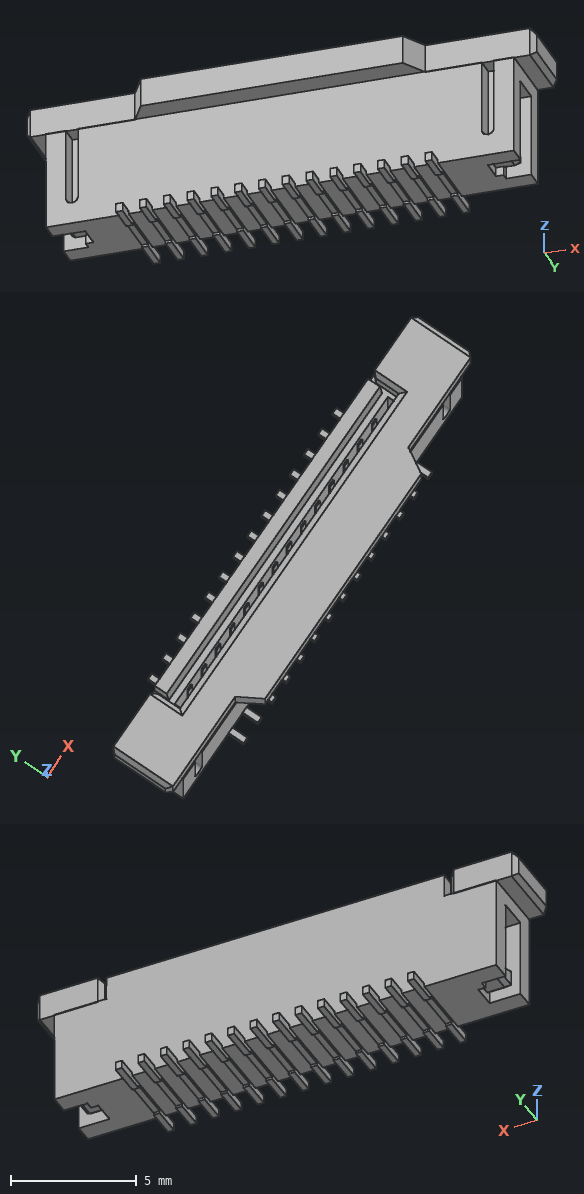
import cadquery as cq


overall_length = 21.4
overall_height = 5.67

housing_length = 19.65
housing_depth = 2.95
housing_bottom = 0.24
cover_thickness = 1.22
housing_top = overall_height - cover_thickness
housing_front = -housing_depth / 2
housing_back = housing_depth / 2

cover_setback = 0.05
cover_depth = housing_depth - 2 * cover_setback
cover_front = -cover_depth / 2
cover_back = cover_depth / 2
cover_chamfer = 0.21

lip_root_length = 12.2
lip_tip_length = 11.0
lip_depth = 1.03

opening_length = 15.4
opening_front = 0.13
opening_front_chamfer = 0.25

cable_length = 15.02
wall_top = overall_height - 0.17
wall_top_thickness = 0.58
wall_base_thickness = 0.68
slot_back = 0.51
slot_front = opening_front
slot_floor = 1.07

contact_count = 14
contact_span = 13.0
contact_pitch = contact_span / (contact_count - 1)
contact_width = 0.28
contact_height = 0.36
contact_arch = 0.1
back_tail = 0.92
front_tail = 0.73
back_foot_length = 1.48
front_foot_length = 1.26
blade_top = 3.64
blade_projection = 0.06

leg_thickness = 0.81
pocket_width = 1.3
pocket_front = housing_front + leg_thickness
pocket_back = pocket_front + pocket_width
pocket_top = 3.77
pocket_inner_x = 8.45
pocket_rib_width = 0.32
rib_outer_x = pocket_inner_x + 0.32

arm_outer_x = 9.03
arm_bottom = 0.62
arm_back = pocket_back - 0.06
hook_outer_x = 9.42
hook_back_top = 1.03
hook_front_top = 1.48
hook_chamfer = 0.2

window_width = 0.51
window_center_x = 8.73
window_bottom = 1.15


def block(x_min, x_max, y_min, y_max, z_min, z_max):
    """Box between opposite corners."""
    size = (x_max - x_min, y_max - y_min, z_max - z_min)
    return cq.Workplane("XY").box(*size, centered=False).translate((x_min, y_min, z_min))


def centred_block(length, y_min, y_max, z_min, z_max):
    """Box centred on X = 0."""
    return block(-length / 2, length / 2, y_min, y_max, z_min, z_max)


def side_profile(points, x_min, x_max):
    """Closed (y, z) outline extruded along X."""
    return cq.Workplane("YZ", origin=(x_min, 0, 0)).polyline(points).close().extrude(x_max - x_min)


def both_ends(feature):
    """The feature together with its mirror image at the opposite end."""
    return feature.union(feature.mirror("YZ"))


def rectangle_corners(half_length, y_min, y_max):
    """Corners of a rectangle centred on X = 0."""
    return [(-half_length, y_min), (half_length, y_min), (half_length, y_max), (-half_length, y_max)]


def make_cover():
    frame = centred_block(overall_length, cover_front, cover_back, housing_top, overall_height)
    frame = frame.faces("<X or >X").chamfer(cover_chamfer)

    opening = centred_block(opening_length, opening_front, cover_back, housing_top, overall_height)
    frame = frame.cut(opening)

    half = opening_length / 2
    flare_half = half + cover_chamfer
    flare_front = opening_front - opening_front_chamfer
    flare = (
        cq.Workplane("XY", origin=(0, 0, overall_height - cover_chamfer))
        .polyline(rectangle_corners(half, opening_front, cover_back))
        .close()
        .workplane(offset=cover_chamfer)
        .polyline(rectangle_corners(flare_half, flare_front, cover_back))
        .close()
        .loft(ruled=True)
    )

    back_corner = (
        cq.Workplane("XY", origin=(0, 0, housing_top))
        .polyline([(half, cover_back), (flare_half, cover_back), (half, cover_back - cover_chamfer)])
        .close()
        .extrude(cover_thickness)
    )
    frame = frame.cut(flare).cut(both_ends(back_corner))

    lip = (
        cq.Workplane("XY", origin=(0, 0, housing_top))
        .polyline(
            [
                (-lip_root_length / 2, cover_front),
                (-lip_tip_length / 2, cover_front - lip_depth),
                (lip_tip_length / 2, cover_front - lip_depth),
                (lip_root_length / 2, cover_front),
            ]
        )
        .close()
        .extrude(cover_thickness)
    )
    return frame.union(lip)


def make_guide_wall():
    return side_profile(
        [
            (housing_back, housing_top),
            (housing_back, wall_top),
            (housing_back - wall_top_thickness, wall_top),
            (housing_back - wall_base_thickness, housing_top),
        ],
        -cable_length / 2,
        cable_length / 2,
    )


def make_housing():
    body = centred_block(housing_length, housing_front, housing_back, housing_bottom, housing_top)
    cable_slot = centred_block(cable_length, slot_front, slot_back, slot_floor, housing_top)

    pocket = block(
        pocket_inner_x, housing_length / 2, pocket_front, pocket_back, housing_bottom, pocket_top
    )

    radius = window_width / 2
    window = block(
        window_center_x - radius,
        window_center_x + radius,
        housing_front,
        pocket_front,
        window_bottom + radius,
        housing_top,
    )
    window_end = (
        cq.Workplane("XZ", origin=(window_center_x, pocket_front, window_bottom + radius))
        .circle(radius)
        .extrude(leg_thickness)
    )
    return body.cut(cable_slot).cut(both_ends(pocket.union(window).union(window_end)))


def make_latch():
    arm = block(pocket_inner_x, arm_outer_x, pocket_front, arm_back, arm_bottom, pocket_top)
    hook = side_profile(
        [
            (pocket_front, arm_bottom),
            (arm_back, arm_bottom),
            (arm_back, hook_back_top),
            (pocket_front, hook_front_top),
        ],
        pocket_inner_x,
        hook_outer_x,
    )
    latch = arm.union(hook)
    latch = latch.faces("<Z").edges("not <X").chamfer(hook_chamfer)
    rib_front = pocket_back - pocket_rib_width
    rib = block(pocket_inner_x, rib_outer_x, rib_front, pocket_back, housing_bottom, pocket_top)
    return both_ends(latch.union(rib))


def make_contact(x):
    back_end = housing_back + back_tail
    front_end = housing_front - front_tail
    half = contact_width / 2
    rail = side_profile(
        [
            (front_end, 0),
            (front_end + front_foot_length, 0),
            (front_end + front_foot_length, contact_arch),
            (back_end - back_foot_length, contact_arch),
            (back_end - back_foot_length, 0),
            (back_end, 0),
            (back_end, contact_height),
            (front_end, contact_height),
        ],
        x - half,
        x + half,
    )
    blade = block(x - half, x + half, slot_back - blade_projection, slot_back, slot_floor, blade_top)
    return rail.union(blade)


result = make_housing().union(make_cover()).union(make_guide_wall()).union(make_latch())
for index in range(contact_count):
    result = result.union(make_contact(-contact_span / 2 + index * contact_pitch))